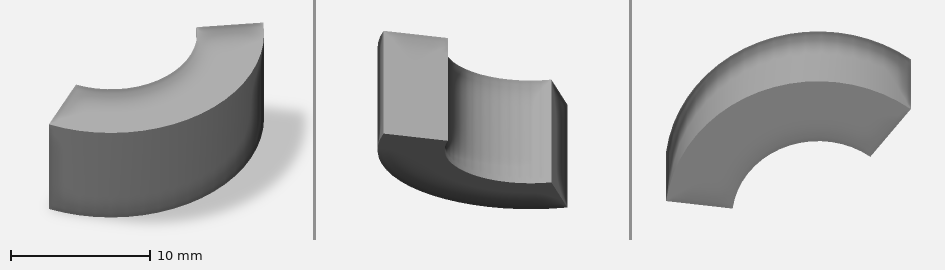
import cadquery as cq
import math

span = 19.05
half_angle = math.radians(60)
inner_radius = 6.2
height = 8.0
outer_radius = span / 2 / math.sin(half_angle)


def point_on_circle(radius, angle):
    return (radius * math.cos(angle), radius * math.sin(angle))


result = (
    cq.Workplane("XY")
    .moveTo(*point_on_circle(inner_radius, -half_angle))
    .lineTo(*point_on_circle(outer_radius, -half_angle))
    .threePointArc((outer_radius, 0), point_on_circle(outer_radius, half_angle))
    .lineTo(*point_on_circle(inner_radius, half_angle))
    .threePointArc((inner_radius, 0), point_on_circle(inner_radius, -half_angle))
    .close()
    .extrude(height)
)